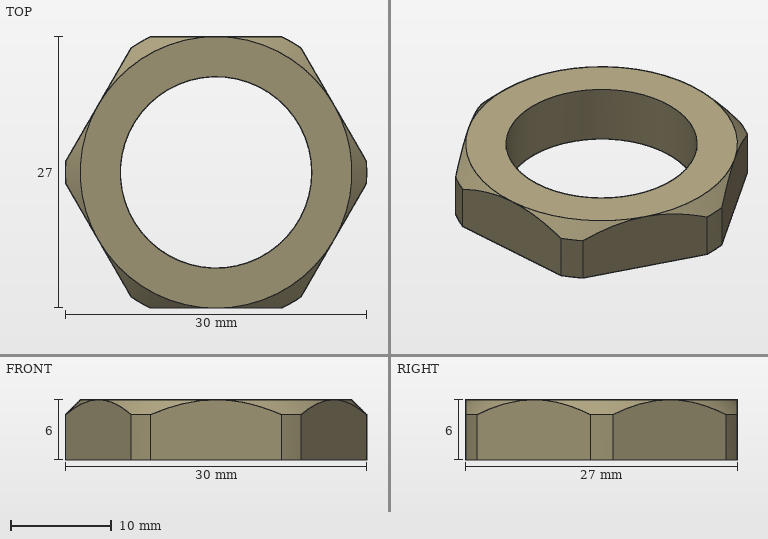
import cadquery as cq
import math

corner_diameter = 29.97
across_flats = 27.0
height = 6.0
bore_diameter = 19.0

chamfer = (corner_diameter - across_flats) / 2


def hexagon_prism():
    """Hexagonal blank with corners on the X axis and flats facing Y."""
    sharp_corner_diameter = across_flats / math.cos(math.radians(30))
    return cq.Workplane("XY").polygon(6, sharp_corner_diameter).extrude(height)


def chamfered_disc():
    """Round envelope that trims the corners and their top edges."""
    disc = cq.Workplane("XY").circle(corner_diameter / 2).extrude(height)
    return disc.faces(">Z").edges().chamfer(chamfer)


nut = hexagon_prism().intersect(chamfered_disc())
bore = cq.Workplane("XY").circle(bore_diameter / 2).extrude(height)
result = nut.cut(bore)